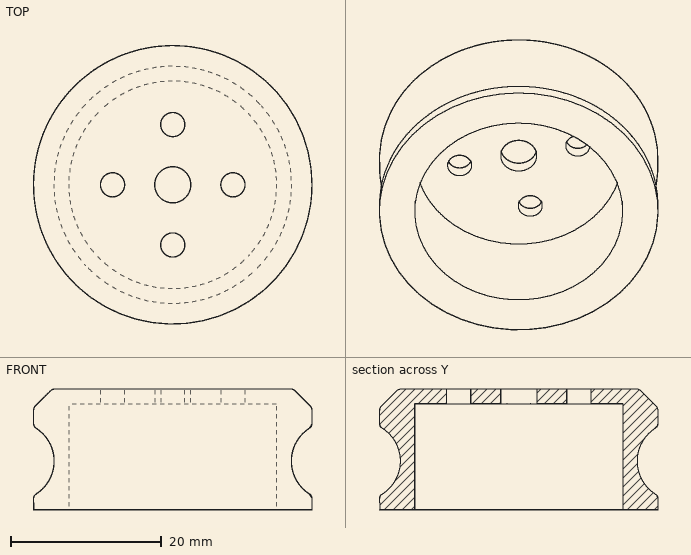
import cadquery as cq
import math

outer_diameter = 37.0
height = 16.05
outer_radius = outer_diameter / 2

rim_chamfer = 2.498
rim_rounding = 0.9

groove_radius = 5.18
groove_depth = 2.75
groove_lip_rounding = 0.75
groove_height = 6.455
groove_center_radius = outer_radius - groove_depth + groove_radius
groove_half_width = math.sqrt(groove_radius**2 - (groove_center_radius - outer_radius)**2)

cavity_diameter = 27.6
plate_thickness = 2.0

center_hole_diameter = 4.77
bolt_hole_diameter = 3.2
bolt_circle_radius = 8.0
bolt_count = 4


def edges_between(low, high):
    """Selector for the edges whose centers lie between two heights."""
    return cq.selectors.BoxSelector(
        (-outer_diameter, -outer_diameter, low),
        (outer_diameter, outer_diameter, high),
    )


def make_body():
    """Revolve the grooved outline and round its rim corners."""
    outline = (
        cq.Workplane("XZ")
        .lineTo(outer_radius, 0)
        .lineTo(outer_radius, groove_height - groove_half_width)
        .threePointArc(
            (outer_radius - groove_depth, groove_height),
            (outer_radius, groove_height + groove_half_width),
        )
        .lineTo(outer_radius, height - rim_chamfer)
        .lineTo(outer_radius - rim_chamfer, height)
        .lineTo(0, height)
        .close()
    )
    body = outline.revolve(360, (0, 0, 0), (0, 1, 0))
    upper_lip = groove_height + groove_half_width
    above_lip = (upper_lip + height - rim_chamfer) / 2
    below_lip = (groove_height - groove_half_width) / 2
    body = body.edges("%CIRCLE").edges(edges_between(above_lip, height + rim_chamfer)).fillet(rim_rounding)
    return body.edges("%CIRCLE").edges(edges_between(below_lip, above_lip)).fillet(groove_lip_rounding)


def make_cavity():
    """Round pocket open at the bottom."""
    return cq.Workplane("XY").circle(cavity_diameter / 2).extrude(height - plate_thickness)


def make_holes():
    """Central hole and the ring of bolt holes around it."""
    center_hole = cq.Workplane("XY").circle(center_hole_diameter / 2).extrude(height)
    bolt_holes = (
        cq.Workplane("XY")
        .polarArray(bolt_circle_radius, 0, 360, bolt_count)
        .circle(bolt_hole_diameter / 2)
        .extrude(height)
    )
    return center_hole.union(bolt_holes)


result = make_body().cut(make_cavity()).cut(make_holes())